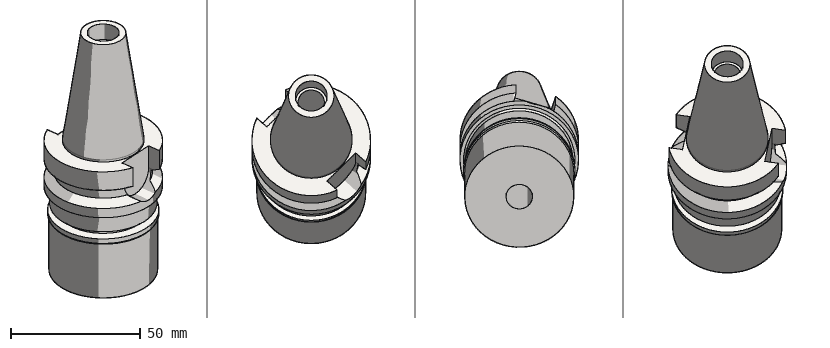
import cadquery as cq

TOTAL_HEIGHT = 108.4
BORE_RADIUS = 5.1

NUT_RADIUS = 21.1
NUT_RIM_RADIUS = 21.6
NUT_CONE_TOP = 25.4
NUT_CONE_HEIGHT = 0.7
NUT_HEIGHT = 27.4

NECK_RADIUS = 17.6
NECK_LENGTH = 2.8
COLLAR_RADIUS = 20.8
COLLAR_BOTTOM = NUT_HEIGHT + NECK_LENGTH
COLLAR_TOP = 37.3
COLLAR_FLARE = 0.8

FLANGE_RADIUS = 46.0 / 2
FLANGE_BOTTOM = COLLAR_TOP + COLLAR_FLARE
FLANGE_TOP = 59.1
GROOVE_RADIUS = 19.1
GROOVE_FLOOR_WIDTH = 3.7
GROOVE_CONE_HEIGHT = 2.3
GROOVE_MIDDLE = 46.4

TAPER_LARGE_RADIUS = 15.8
TAPER_SMALL_RADIUS = 8.8
TAPER_LAND = 1.0

SOCKET_RADIUS = 6.2
SOCKET_DEPTH = 7.2

SLOT_WIDTH = 16.0
SLOT_BOTTOM = 41.0
SLOT_FLOOR_X = 16.2


def revolve_outline(points):
    """Turn a closed (radius, height) outline about the Z axis."""
    return cq.Workplane("XZ").polyline(points).close().revolve(360, (0, 0, 0), (0, 1, 0))


def make_nut():
    return revolve_outline([
        (BORE_RADIUS, 0),
        (NUT_RADIUS, 0),
        (NUT_RADIUS, NUT_CONE_TOP - NUT_CONE_HEIGHT),
        (NUT_RIM_RADIUS, NUT_CONE_TOP),
        (NUT_RIM_RADIUS, NUT_HEIGHT),
        (BORE_RADIUS, NUT_HEIGHT),
    ])


def make_holder_blank():
    groove_low = GROOVE_MIDDLE - GROOVE_FLOOR_WIDTH / 2
    groove_high = GROOVE_MIDDLE + GROOVE_FLOOR_WIDTH / 2
    socket_floor = TOTAL_HEIGHT - SOCKET_DEPTH
    return revolve_outline([
        (BORE_RADIUS, NUT_HEIGHT),
        (NECK_RADIUS, NUT_HEIGHT),
        (NECK_RADIUS, COLLAR_BOTTOM),
        (COLLAR_RADIUS, COLLAR_BOTTOM),
        (COLLAR_RADIUS, COLLAR_TOP),
        (COLLAR_RADIUS + COLLAR_FLARE, FLANGE_BOTTOM),
        (FLANGE_RADIUS, FLANGE_BOTTOM),
        (FLANGE_RADIUS, groove_low - GROOVE_CONE_HEIGHT),
        (GROOVE_RADIUS, groove_low),
        (GROOVE_RADIUS, groove_high),
        (FLANGE_RADIUS, groove_high + GROOVE_CONE_HEIGHT),
        (FLANGE_RADIUS, FLANGE_TOP),
        (TAPER_LARGE_RADIUS, FLANGE_TOP),
        (TAPER_LARGE_RADIUS, FLANGE_TOP + TAPER_LAND),
        (TAPER_SMALL_RADIUS, TOTAL_HEIGHT),
        (SOCKET_RADIUS, TOTAL_HEIGHT),
        (SOCKET_RADIUS, socket_floor),
        (BORE_RADIUS, socket_floor),
    ])


def make_drive_slot(side):
    """Round-ended slot, open at the flange top, on the +X (side 1) or -X (side -1) flank."""
    half_width = SLOT_WIDTH / 2
    arc_centre = SLOT_BOTTOM + half_width
    return (
        cq.Workplane("YZ", origin=(side * SLOT_FLOOR_X, 0, 0))
        .moveTo(-half_width, FLANGE_TOP)
        .lineTo(-half_width, arc_centre)
        .threePointArc((0, SLOT_BOTTOM), (half_width, arc_centre))
        .lineTo(half_width, FLANGE_TOP)
        .close()
        .extrude(side * FLANGE_RADIUS)
    )


def make_holder():
    holder = make_holder_blank()
    for side in (-1, 1):
        holder = holder.cut(make_drive_slot(side))
    return holder


nut = make_nut()
holder = make_holder()
result = cq.Compound.makeCompound([nut.val(), *holder.solids().vals()])